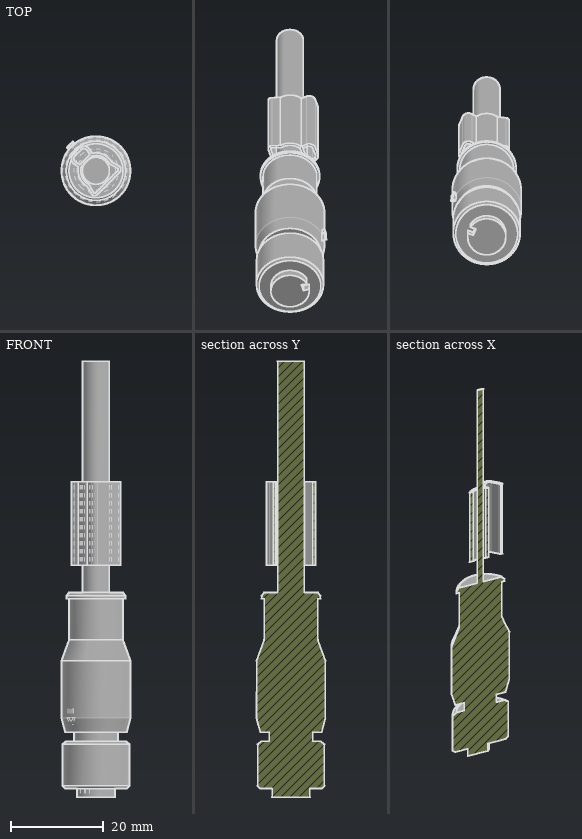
import cadquery as cq
import math

TOTAL_LENGTH = 94.0

TIP_RADIUS = 4.1
KEYWAY_WIDTH = 1.5
KEYWAY_FLOOR = 2.8

NUT_RADIUS = 7.2
NUT_BOTTOM = 1.9
NUT_TOP = 12.1
NUT_CHAMFER = 0.6
NUT_TOP_EDGE = 11.5
NUT_TOP_FACE_RADIUS = 6.4

NECK_RADIUS = 4.8

GRIP_DIAMETER = 14.9
GRIP_RADIUS = GRIP_DIAMETER / 2
GRIP_BOTTOM_RADIUS = 6.7
GRIP_BOTTOM = 14.0
GRIP_FULL_START = 17.1
GRIP_FULL_END = 29.4
SLEEVE_RADIUS = 5.8
SLEEVE_START = 33.9

COLLAR_RADIUS = 6.4
COLLAR_BOTTOM = 42.8
COLLAR_EDGE = 43.4
COLLAR_TOP = 44.2

CABLE_RADIUS = 2.9

CLIP_BOTTOM = 50.0
CLIP_TOP = 68.1
CLIP_WALL = 0.6
CLIP_BACK = 3.9
CLIP_BACK_HALF_WIDTH = 4.5
CLIP_BACK_CORNER = 0.8
CLIP_ARC_START = 105.0
CLIP_NECK_ANGLE = 33.0
POCKET_END = 6.0
POCKET_HALF_WIDTH = 2.6
POCKET_CORNER = 1.4
DIVIDER_OUTER = 3.4

ARROW_FACE = 8.0
ARROW_TOP = 19.1
ARROW_HEAD_TOP = 17.2
ARROW_POINT = 15.8
ARROW_STEM_WIDTH = 1.1
ARROW_HEAD_WIDTH = 1.9

MARK_DIRECTION = 135.0


def turn_to_mark(solid):
    return solid.rotate((0, 0, 0), (0, 0, 1), MARK_DIRECTION)


def make_turned_body():
    profile = [
        (0, 0),
        (TIP_RADIUS, 0),
        (TIP_RADIUS, NUT_BOTTOM),
        (NUT_RADIUS - NUT_CHAMFER, NUT_BOTTOM),
        (NUT_RADIUS, NUT_BOTTOM + NUT_CHAMFER),
        (NUT_RADIUS, NUT_TOP_EDGE),
        (NUT_TOP_FACE_RADIUS, NUT_TOP),
        (NECK_RADIUS, NUT_TOP),
        (NECK_RADIUS, GRIP_BOTTOM),
        (GRIP_BOTTOM_RADIUS, GRIP_BOTTOM),
        (GRIP_RADIUS, GRIP_FULL_START),
        (GRIP_RADIUS, GRIP_FULL_END),
        (SLEEVE_RADIUS, SLEEVE_START),
        (SLEEVE_RADIUS, COLLAR_BOTTOM),
        (COLLAR_RADIUS, COLLAR_BOTTOM),
        (COLLAR_RADIUS, COLLAR_EDGE),
        (SLEEVE_RADIUS, COLLAR_TOP),
        (CABLE_RADIUS, COLLAR_TOP),
        (CABLE_RADIUS, TOTAL_LENGTH),
        (0, TOTAL_LENGTH),
    ]
    return cq.Workplane("XZ").polyline(profile).close().revolve(360, (0, 0), (0, 1))


def make_keyway():
    depth = TIP_RADIUS - KEYWAY_FLOOR
    keyway = cq.Workplane("XY").box(depth, KEYWAY_WIDTH, NUT_BOTTOM, centered=(False, True, False))
    return turn_to_mark(keyway.translate((KEYWAY_FLOOR, 0, 0)))


def make_arrow():
    half_stem = ARROW_STEM_WIDTH / 2
    half_head = ARROW_HEAD_WIDTH / 2
    outline = [
        (-half_stem, ARROW_TOP),
        (half_stem, ARROW_TOP),
        (half_stem, ARROW_HEAD_TOP),
        (half_head, ARROW_HEAD_TOP),
        (0, ARROW_POINT),
        (-half_head, ARROW_HEAD_TOP),
        (-half_stem, ARROW_HEAD_TOP),
    ]
    root = GRIP_BOTTOM_RADIUS
    arrow = cq.Workplane("YZ").workplane(offset=root).polyline(outline).close().extrude(ARROW_FACE - root)
    return turn_to_mark(arrow)


def point_on_clip_arc(degrees):
    angle = math.radians(degrees)
    return CLIP_BACK * math.cos(angle), CLIP_BACK * math.sin(angle)


def make_clip():
    height = CLIP_TOP - CLIP_BOTTOM
    arc_middle = (CLIP_ARC_START + CLIP_NECK_ANGLE) / 2
    filled = (
        cq.Workplane("XY")
        .moveTo(-CLIP_BACK, -CLIP_BACK_HALF_WIDTH)
        .lineTo(-CLIP_BACK, CLIP_BACK_HALF_WIDTH)
        .lineTo(*point_on_clip_arc(CLIP_ARC_START))
        .threePointArc(point_on_clip_arc(arc_middle), point_on_clip_arc(CLIP_NECK_ANGLE))
        .lineTo(POCKET_END, POCKET_HALF_WIDTH)
        .lineTo(POCKET_END, -POCKET_HALF_WIDTH)
        .lineTo(*point_on_clip_arc(-CLIP_NECK_ANGLE))
        .threePointArc(point_on_clip_arc(-arc_middle), point_on_clip_arc(-CLIP_ARC_START))
        .close()
        .extrude(height)
        .edges("|Z and <X").fillet(CLIP_BACK_CORNER)
        .edges("|Z and >X").fillet(POCKET_CORNER)
    )
    cavity = filled.faces("<Z").wires().toPending().offset2D(-CLIP_WALL).extrude(height, combine=False)
    divider = (
        cq.Workplane("XY")
        .box(CLIP_WALL, 2 * POCKET_HALF_WIDTH, height, centered=(False, True, False))
        .translate((DIVIDER_OUTER - CLIP_WALL, 0, 0))
    )
    clip = filled.cut(cavity.cut(divider))
    return turn_to_mark(clip.translate((0, 0, CLIP_BOTTOM)))


result = make_turned_body().cut(make_keyway()).union(make_arrow()).union(make_clip())